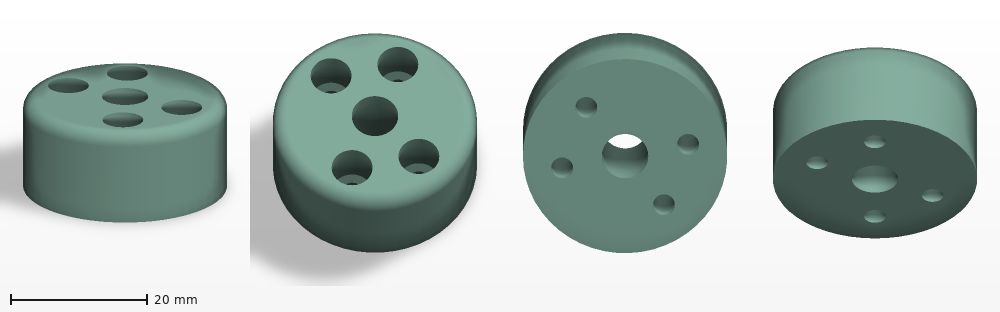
import cadquery as cq

body_diameter = 30
body_height = 14.0
top_edge_radius = 2.0

bore_diameter = 6.8

screw_spacing_x = 16.0
screw_spacing_y = 10.0
screw_hole_diameter = 3.2
screw_head_diameter = 6
screw_head_depth = body_height / 2


def make_body():
    """Cylinder standing on Z = 0 with a rounded top rim."""
    body = cq.Workplane("XY").circle(body_diameter / 2).extrude(body_height)
    return body.faces(">Z").edges().fillet(top_edge_radius)


def cut_bore(part):
    """Plain central hole through the full height."""
    return part.faces(">Z").workplane(origin=(0, 0, body_height)).hole(bore_diameter)


def cut_screw_holes(part):
    """Through holes with head recesses sunk from the top face."""
    return (
        part.faces(">Z")
        .workplane(origin=(0, 0, body_height))
        .rarray(screw_spacing_x, screw_spacing_y, 2, 2)
        .cboreHole(screw_hole_diameter, screw_head_diameter, screw_head_depth)
    )


result = cut_screw_holes(cut_bore(make_body()))